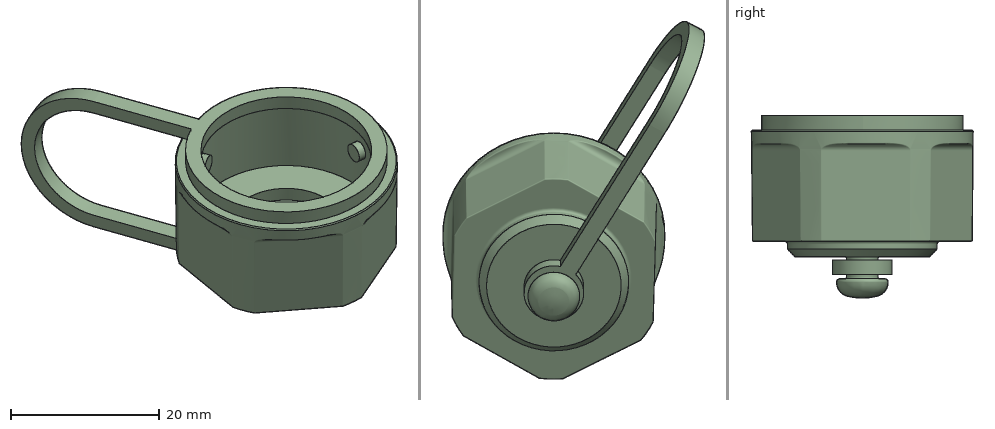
import cadquery as cq
import math


strap_thickness = 2.0
strap_width = 2.4
loop_height = 21.5
loop_reach = 38.75
strap_turn = 0.5
collar_radius = 13.6
collar_bore_radius = 11.5
eye_radius = 4.05

cap_turn = 2.1
cap_radius = 15.0
cap_top = -strap_thickness
cap_bottom = -17.0
rim_chamfer = 0.15
edge_fillet = 0.15
draft = 0.6
flat_count = 6
flat_distance = 13.7
flat_top = -3.85
flat_fillet = 0.9
bore_radius = 12.5

boss_radius = 10.1
boss_bottom = -19.1
boss_chamfer = 1.0
boss_fillet = 0.45
stud_radius = 2.15
shank_fillet = 0.15
head_radius = 3.5
head_top = -22.05
head_edge = 0.5
head_corner = 1.95
head_bottom = -24.65

lug_count = 3
lug_radius = 1.3
lug_height = -6.0
lug_tip_distance = 11.4

seal_top = -12.6
seal_thickness = 2.0
seal_hole_radius = 7.5
bore_floor = seal_top - seal_thickness


def disc(radius, bottom, top):
    return cq.Workplane("XY").workplane(offset=bottom).circle(radius).extrude(top - bottom)


def flat_cutter():
    """Tool that cuts one drafted flat on the +X side, rounded under the flange."""
    outside = 2 * cap_radius
    height = flat_top - cap_bottom
    slope = math.tan(math.radians(draft))
    profile = (
        cq.Workplane("XZ")
        .moveTo(flat_distance - height * slope, cap_bottom)
        .lineTo(flat_distance, flat_top)
        .lineTo(outside, flat_top)
        .lineTo(outside, cap_bottom)
        .close()
    )
    cutter = profile.extrude(cap_radius, both=True)
    inner_top_edge = cq.selectors.NearestToPointSelector((flat_distance, 0, flat_top))
    return cutter.edges(inner_top_edge).fillet(flat_fillet)


def round_flat_edges(body):
    """Round the outline of every flat and the whole lower rim of the cap."""
    reach = 2 * cap_radius
    below_flange = cq.selectors.BoxSelector(
        (-reach, -reach, cap_bottom - reach), (reach, reach, flat_top + edge_fillet)
    )
    return body.edges(below_flange).edges("(not #Z) or <Z").fillet(edge_fillet)


def lug():
    """Round lug on the +X side, reaching into the bore from inside the cap wall."""
    root = (bore_radius + flat_distance) / 2
    return (
        cq.Workplane("YZ", origin=(lug_tip_distance, 0, lug_height))
        .circle(lug_radius)
        .extrude(root - lug_tip_distance)
    )


def stud():
    """Shank and mushroom head, revolved about the cap axis."""
    widest = head_top - head_edge
    dome_height = widest - head_bottom
    corner_x = head_radius - head_corner
    dome_radius = (corner_x**2 + dome_height**2 - head_corner**2) / (2 * (dome_height - head_corner))
    lean = math.asin(corner_x / (dome_radius - head_corner))
    dome_edge = (corner_x + head_corner * math.sin(lean), widest - head_corner * math.cos(lean))
    return (
        cq.Workplane("XZ")
        .moveTo(0, boss_bottom)
        .lineTo(stud_radius + shank_fillet, boss_bottom)
        .radiusArc((stud_radius, boss_bottom - shank_fillet), -shank_fillet)
        .lineTo(stud_radius, head_top + shank_fillet)
        .radiusArc((stud_radius + shank_fillet, head_top), -shank_fillet)
        .lineTo(head_radius - head_edge, head_top)
        .radiusArc((head_radius, widest), head_edge)
        .radiusArc(dome_edge, head_corner)
        .radiusArc((0, head_bottom), dome_radius)
        .close()
        .revolve(360, (0, 0, 0), (0, 1, 0))
    )


def build_cap():
    body = (
        cq.Workplane("XY")
        .workplane(offset=cap_top)
        .circle(cap_radius)
        .extrude(cap_bottom - cap_top, taper=draft)
        .faces(">Z")
        .chamfer(rim_chamfer)
    )
    cutter = flat_cutter()
    for index in range(flat_count):
        body = body.cut(cutter.rotate((0, 0, 0), (0, 0, 1), index * 360 / flat_count))
    body = round_flat_edges(body)

    boss = disc(boss_radius, boss_bottom, cap_bottom).faces("<Z").chamfer(boss_chamfer)
    body = body.union(boss)
    boss_root = cq.selectors.NearestToPointSelector((0, 0, cap_bottom))
    body = body.edges(boss_root).fillet(boss_fillet)

    body = body.cut(disc(bore_radius, bore_floor, cap_top))
    for index in range(lug_count):
        angle = 180 + index * 360 / lug_count
        body = body.union(lug().rotate((0, 0, 0), (0, 0, 1), angle))
    return body.union(stud()).rotate((0, 0, 0), (0, 0, 1), cap_turn)


def build_seal():
    return disc(bore_radius, bore_floor, seal_top).cut(disc(seal_hole_radius, bore_floor, seal_top))


def loop_outline(inset):
    """Side outline of the loop, moved inward by the inset and open at the cap axis."""
    bend_radius = loop_height / 2
    bend_center = bend_radius - loop_reach
    return (
        cq.Workplane("XZ")
        .moveTo(0, -inset)
        .lineTo(bend_center, -inset)
        .threePointArc((inset - loop_reach, -bend_radius), (bend_center, inset - loop_height))
        .lineTo(0, inset - loop_height)
        .close()
        .extrude(strap_width / 2, both=True)
    )


def build_strap():
    band = loop_outline(0).cut(loop_outline(strap_thickness))
    collar = disc(collar_radius, -strap_thickness, 0)
    eye = disc(eye_radius, -loop_height, strap_thickness - loop_height)
    strap = band.union(collar).union(eye)
    strap = strap.cut(disc(collar_bore_radius, -strap_thickness, 0))
    strap = strap.cut(disc(stud_radius, -loop_height, strap_thickness - loop_height))
    return strap.rotate((0, 0, 0), (0, 0, 1), strap_turn)


cap = build_cap()
seal = build_seal()
strap = build_strap()

bodies = [body.solids().val() for body in (cap, seal, strap)]
result = cq.Compound.makeCompound(bodies)